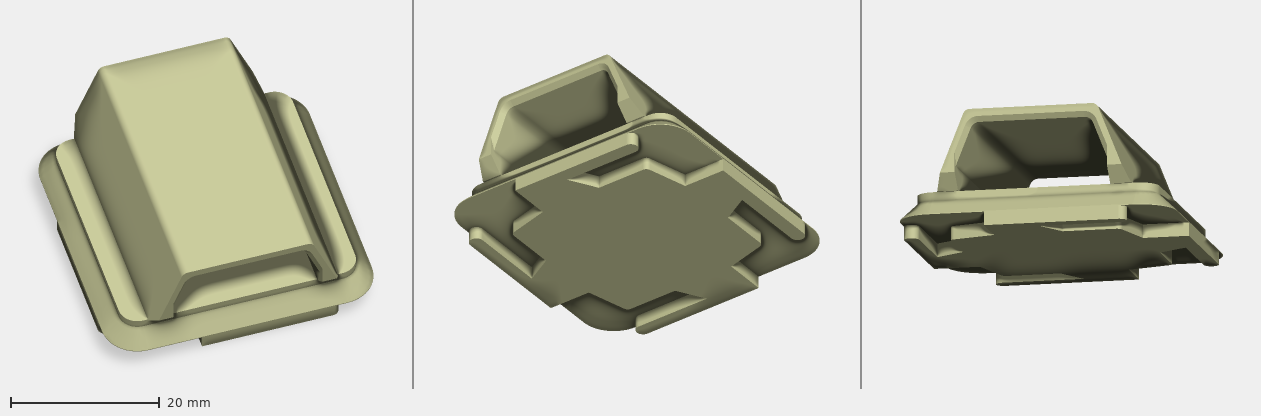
import cadquery as cq
import math

side = 38.0
half_side = side / 2
total_height = 16.1
corner_radius = 4.95
foot_height = 1.85
rim_height = 0.1
bevel_height = 2.25
bevel_inset = 2.35
plate_top = 5.4
bevel_top = foot_height + rim_height + bevel_height

housing_bottom_half = 13.38
housing_top_half = 9.1
housing_edge_radius = 1.0
undercut_height = 2.13
bore_half = 10.5
bore_top = 14.4
bore_shoulder = 8.47
bore_radius = 1.25
mouth_flare = 0.7
side_angle = math.atan2(housing_bottom_half - housing_top_half, total_height - plate_top)

arm_start = -6.45
arm_end = 13.05
arm_thickness = 2.05
arm_inner = arm_thickness - half_side
core_edge = -12.92
core_step = -12.7
core_corner = -10.95
core_corner_radius = 0.75
slot_end = 3.05
slot_end_angle = 30.0


def rounded_square(width, radius, bottom, height, taper=0):
    """Square block with rounded upright edges, optionally tapered upward."""
    sketch = cq.Sketch().rect(width, width).vertices().fillet(radius)
    return cq.Workplane("XY").workplane(offset=bottom).placeSketch(sketch).extrude(height, taper=taper)


def make_plate():
    rim_top = foot_height + rim_height
    taper = math.degrees(math.atan2(bevel_inset, bevel_height))
    rim = rounded_square(side, corner_radius, foot_height, rim_height)
    bevel = rounded_square(side, corner_radius, rim_top, bevel_height, taper)
    top = rounded_square(side - 2 * bevel_inset, corner_radius - bevel_inset, bevel_top, plate_top - bevel_top)
    return rim.union(bevel).union(top)


def bore_half_at(z):
    """Half width of the bore's sloping sides at height z."""
    return bore_half - (z - bore_shoulder) * math.tan(side_angle)


def bore_face(x, growth):
    """Closed bore outline at x, enlarged by growth on its roof and slopes."""
    roof = bore_top + growth
    widening = growth / math.cos(side_angle)
    top_half = bore_half_at(roof) + widening
    bottom_half = bore_half_at(0) + widening
    outline = cq.Sketch().polygon([
        (-bottom_half, 0), (bottom_half, 0), (top_half, roof), (-top_half, roof), (-bottom_half, 0),
    ]).vertices(">Y").fillet(bore_radius + growth)
    return cq.Workplane("YZ").workplane(offset=x).placeSketch(outline)


def make_bore():
    straight = bore_face(-half_side, 0).extrude(side)
    flare = bore_face(-half_side, mouth_flare).extrude(mouth_flare, taper=45)
    channel = cq.Workplane("XY").box(side, 2 * bore_half, total_height, centered=(True, True, False))
    channel = channel.translate((0, 0, plate_top))
    return straight.union(flare).union(flare.mirror("YZ")).intersect(channel)


def make_housing():
    shell = (
        cq.Workplane("YZ").workplane(offset=-half_side)
        .polyline([
            (-housing_bottom_half, plate_top), (housing_bottom_half, plate_top),
            (housing_top_half, total_height), (-housing_top_half, total_height),
        ]).close().extrude(side)
        .faces(">Z").edges("|X").fillet(housing_edge_radius)
    )
    shell = shell.edges("<Z and |Y").chamfer(undercut_height)
    return shell.cut(make_bore())


def make_arm_foot():
    """Core and four arms, one outline repeated every quarter turn."""
    slot_depth = (core_edge - arm_inner) * math.tan(math.radians(slot_end_angle))
    arm_radius = arm_thickness / 2
    quarter = (
        cq.Workplane("XY").moveTo(0, 0)
        .lineTo(core_edge, core_corner)
        .lineTo(arm_start, core_step)
        .lineTo(arm_start, -half_side)
        .lineTo(arm_end - arm_radius, -half_side)
        .threePointArc((arm_end, arm_radius - half_side), (arm_end - arm_radius, arm_inner))
        .lineTo(slot_end - slot_depth, arm_inner)
        .lineTo(slot_end, core_edge)
        .lineTo(-core_corner, core_edge)
        .close().extrude(foot_height)
    )
    foot = quarter
    for turn in (90, 180, 270):
        foot = foot.union(quarter.rotate((0, 0, 0), (0, 0, 1), turn))
    mid_height = foot_height / 2
    for x, y in [
        (core_edge, core_corner), (-core_corner, core_edge),
        (-core_edge, -core_corner), (core_corner, -core_edge),
    ]:
        corner_edge = cq.selectors.NearestToPointSelector((x, y, mid_height))
        foot = foot.edges("|Z").edges(corner_edge).fillet(core_corner_radius)
    return foot


result = make_plate().union(make_housing()).union(make_arm_foot())